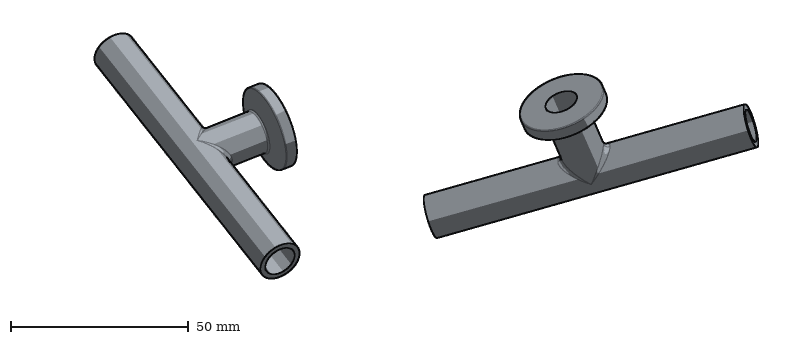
import cadquery as cq
import math

run_length = 95.25
tube_diameter = 12.7
bore_diameter = 9.4
overall_depth = 31.7
flange_diameter = 25.0
rim_thickness = 3.6
cone_angle = 20.0
rim_edge_radius = 0.3
neck_fillet_radius = 0.6
junction_fillet_radius = 1.4

tube_radius = tube_diameter / 2
flange_radius = flange_diameter / 2
flange_face_y = overall_depth - tube_radius
cone_start_y = flange_face_y - rim_thickness
cone_length = (flange_radius - tube_radius) * math.tan(math.radians(cone_angle))
cone_end_y = cone_start_y - cone_length


def run_cylinder(diameter):
    """Solid cylinder along X, over the whole run."""
    return cq.Workplane("YZ").circle(diameter / 2).extrude(run_length / 2, both=True)


def branch_cylinder(diameter):
    """Solid cylinder along Y, from the run axis to the flange face."""
    return cq.Workplane("XZ").circle(diameter / 2).extrude(-flange_face_y)


def tee_body():
    """Run and branch joined, with the saddle-shaped seam filleted."""
    tee = run_cylinder(tube_diameter).union(branch_cylinder(tube_diameter))
    return tee.edges("%ELLIPSE").fillet(junction_fillet_radius)


def flange():
    """Flat-faced disc with a conical back."""
    profile = (
        cq.Workplane("XY")
        .moveTo(0, flange_face_y)
        .lineTo(flange_radius, flange_face_y)
        .lineTo(flange_radius, cone_start_y)
        .lineTo(tube_radius, cone_end_y)
        .lineTo(0, cone_end_y)
        .close()
    )
    disc = profile.revolve(360, (0, 0, 0), (0, 1, 0))
    rim_edges = disc.edges(cq.selectors.RadiusNthSelector(-1))
    return rim_edges.fillet(rim_edge_radius)


def neck_edge_box():
    """Selection box holding only the seam between the branch and the cone."""
    margin = neck_fillet_radius
    return cq.selectors.BoxSelector(
        (-tube_radius, cone_end_y - margin, -tube_radius),
        (tube_radius, cone_end_y + margin, tube_radius),
    )


outer = tee_body().union(flange())
outer = outer.edges("%CIRCLE").edges(neck_edge_box()).fillet(neck_fillet_radius)

result = outer.cut(run_cylinder(bore_diameter)).cut(branch_cylinder(bore_diameter))